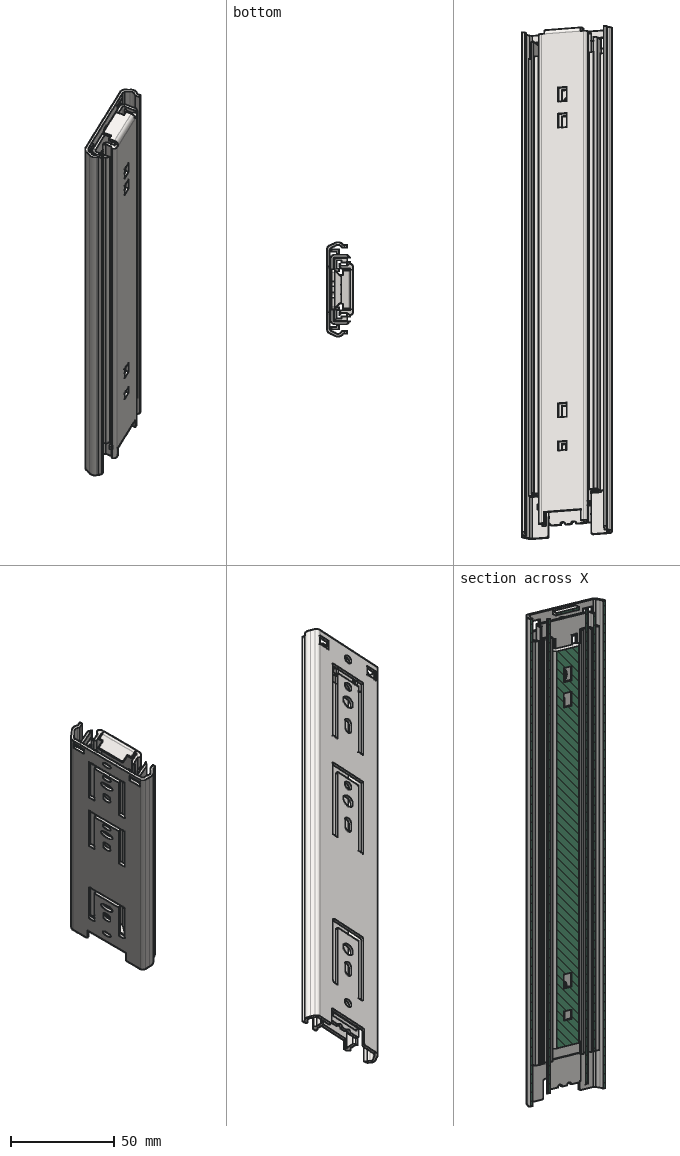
import cadquery as cq
import math


LENGTH = 250.0
DEPTH = 12.8
WIDTH = 45.8

OUTER_SHEET = 1.38
LIP_X = 9.88
LIP_Y = 21.5
LIP_CHAMFER = 1.5
RACE_X = 5.38
RACE_OUTSIDE_REACH = 1.88
RACE_INSIDE_REACH = 1.2
RACE_OUTSIDE_END_Y = 22.2
RACE_INSIDE_END_Y = 21.0
WEB_BEND_START = (0, 19.2)
WEB_BEND_MIDDLE = (0.38, 20.38)
WEB_BEND_END = (1.2, 21.2)
INSIDE_BEND_Y = 19.0
INSIDE_BEND_END = (2.0, 20.0)
LIP_ROOT_X = 8.0
LIP_INSIDE_ROOT_X = 7.5
OUTER_NOTCH_HALF_WIDTH = 11.0
OUTER_NOTCH_HEIGHT = 10.2
OUTER_NOTCH_RADIUS = 0.8
CORNER_WINDOW_Y = (13.0, 19.0)
CORNER_WINDOW_Z = (241.0, 246.5)

LANCE_HALF_WIDTH = 10.2
TONGUE_HALF_WIDTH = 7.0
TONGUE_GAP = 4.2
LONG_LANCE = 46.5
SHORT_LANCE = 41.2
LONG_LANCE_TOPS = (233.8, 169.8)
SHORT_LANCE_TOP = 69.0
SHORT_LANCE_CORNER_RADIUS = 1.2
SMALL_HOLE_DIAMETER = 4.5
BIG_HOLE_DIAMETER = 6.5
MOUNT_SLOT_WIDTH = 4.0
MOUNT_SLOT_LENGTH = 8.5
SMALL_HOLE_DROP = 8.8
LONG_BIG_HOLE_DROP = 18.8
LONG_SLOT_DROP = 34.0
SHORT_BIG_HOLE_DROP = 14.0
SHORT_SLOT_DROP = 26.5
END_HOLES_Z = (242.8, 20.2)

MIDDLE_SHEET = 1.38
MIDDLE_X = 1.8
MIDDLE_HALF_WIDTH = 16.88
MIDDLE_BEND = 2.2
MIDDLE_BOTTOM = 20.2
MIDDLE_TOP = 244.8
HAT_SIDE_Y = 10.2
HAT_FLOOR_Y = 5.62
HAT_BEND = 2.0
HAT_BOTTOM = 26.5
HAT_TOP = 230.2
SLIT_Y = (5.0, 8.0)
SLIT_LENGTH = 5.0
MIDDLE_STRAIGHT_X = 9.8
MIDDLE_TIP_X = 11.2
STEP_HALF_WIDTH = 8.0
STEP_BOTTOM = 7.8
STEP_BEVEL_HEIGHT = 2.5
STEP_BEVEL_DEPTH = 1.2
TONGUE_PLATE_HALF_WIDTH = 9.8
TONGUE_PLATE_SETBACK = 0.8
TONGUE_PLATE_BOTTOM = 5.2
TONGUE_PLATE_RADIUS = 1.5
SCALLOP_RADIUS = 1.2
SCALLOP_Y = 2.8

INNER_SHEET = 1.5
INNER_HALF_WIDTH = 12.5
INNER_BOTTOM = 4.5
INNER_TOP = 247.8
INNER_TIP_X = 6.0
INNER_BEND = 1.8
GROOVE_DEPTH = 1.0
TAB_X = 3.5
TAB_HALF_WIDTH = 7.0
TAB_ROOT_X = 7.8
TAB_ROOT_HALF_WIDTH = 9.2
TAB_BEND = 2.2
INNER_NOTCH_HALF_WIDTH = 9.5
INNER_NOTCH_TOP = 10.0
DETENT_Z = (12.0, 14.2)
DETENT_X = (9.8, 11.2)
DETENT_HEIGHT = 0.8

ACCESS_WINDOW_WIDTH = 4.5
ACCESS_WINDOWS_Z = ((213.5, 220.5), (200.5, 207.5), (56.5, 63.5), (40.0, 44.5))

CAGE_BOTTOM = 20.2
CAGE_TOP = 237.5
CAGE_SHEET = 1.2
OUTER_CAGE_X = (2.2, 6.0)
OUTER_CAGE_Y = (17.12, 19.38)
INNER_CAGE_X = 3.5
INNER_CAGE_ARM_X = 6.0
INNER_CAGE_HOOK_X = 10.0
INNER_CAGE_Y = (8.8, 15.2)
INNER_CAGE_HOOK_Y = 13.0
INNER_CAGE_HOOK_WIDTH = 3.0
INNER_CAGE_CHAMFER = 1.0


def box(x_range, y_range, z_range):
    """Box between the given limits."""
    size = [high - low for low, high in (x_range, y_range, z_range)]
    corner = (x_range[0], y_range[0], z_range[0])
    return cq.Workplane("XY").box(*size, centered=False).translate(corner)


def mirrored(half):
    """The half at +Y joined with its mirror image."""
    return half.union(half.mirror("XZ")).clean()


def round_hole(z, diameter):
    """Round cutter along X through the outer web."""
    return cq.Workplane("YZ").center(0, z).circle(diameter / 2).extrude(OUTER_SHEET)


def lance_cutter(top, length, corner_radius=0):
    """U-shaped slit that frees a mounting tongue on three sides."""
    bottom = top - length
    web = (0, OUTER_SHEET)
    window = box(web, (-LANCE_HALF_WIDTH, LANCE_HALF_WIDTH), (bottom, top))
    if corner_radius > 0:
        window = window.edges("|X").fillet(corner_radius)
    tongue = box(web, (-TONGUE_HALF_WIDTH, TONGUE_HALF_WIDTH), (bottom, top - TONGUE_GAP))
    return window.cut(tongue)


def mount_holes(top, big_hole_drop, slot_drop):
    """Screw hole and adjusting slot of one mounting tongue."""
    slot_z = top - slot_drop
    slot = (
        cq.Workplane("YZ")
        .center(0, slot_z)
        .slot2D(MOUNT_SLOT_LENGTH, MOUNT_SLOT_WIDTH, 90)
        .extrude(OUTER_SHEET)
    )
    return round_hole(top - big_hole_drop, BIG_HOLE_DIAMETER).union(slot)


def outer_rail():
    """C-shaped rail whose edges carry the outer ball races."""
    t = OUTER_SHEET
    half_width = WIDTH / 2
    half = (
        cq.Workplane("XY")
        .lineTo(*WEB_BEND_START)
        .threePointArc(WEB_BEND_MIDDLE, WEB_BEND_END)
        .lineTo(RACE_X - RACE_OUTSIDE_REACH, RACE_OUTSIDE_END_Y)
        .threePointArc((RACE_X, half_width), (RACE_X + RACE_OUTSIDE_REACH, RACE_OUTSIDE_END_Y))
        .lineTo(LIP_ROOT_X, LIP_Y)
        .lineTo(LIP_X, LIP_Y)
        .lineTo(LIP_X, LIP_Y - t)
        .lineTo(LIP_INSIDE_ROOT_X, LIP_Y - t)
        .lineTo(RACE_X + RACE_INSIDE_REACH, RACE_INSIDE_END_Y)
        .threePointArc((RACE_X, half_width - t), (RACE_X - RACE_INSIDE_REACH, RACE_INSIDE_END_Y))
        .lineTo(*INSIDE_BEND_END)
        .lineTo(t, INSIDE_BEND_Y)
        .lineTo(t, 0)
        .close()
        .extrude(LENGTH)
    )
    rail = mirrored(half)

    chamfer_cutter = (
        cq.Workplane("XZ")
        .moveTo(LIP_X, 0)
        .lineTo(LIP_X, LIP_CHAMFER)
        .lineTo(LIP_X - LIP_CHAMFER, 0)
        .close()
        .extrude(WIDTH / 2, both=True)
    )
    rail = rail.cut(chamfer_cutter)

    web = (0, t)
    notch_y = (-OUTER_NOTCH_HALF_WIDTH, OUTER_NOTCH_HALF_WIDTH)
    rail = rail.cut(box(web, notch_y, (0, OUTER_NOTCH_HEIGHT)))
    notch_region = cq.selectors.BoxSelector(
        (0, -OUTER_NOTCH_HALF_WIDTH - OUTER_NOTCH_RADIUS, -OUTER_NOTCH_RADIUS),
        (t, OUTER_NOTCH_HALF_WIDTH + OUTER_NOTCH_RADIUS, OUTER_NOTCH_HEIGHT + OUTER_NOTCH_RADIUS),
    )
    rail = rail.edges("|X").edges(notch_region).fillet(OUTER_NOTCH_RADIUS)

    window = box(web, CORNER_WINDOW_Y, CORNER_WINDOW_Z)
    rail = rail.cut(window).cut(window.mirror("XZ"))

    for top in LONG_LANCE_TOPS:
        rail = rail.cut(lance_cutter(top, LONG_LANCE))
        rail = rail.cut(mount_holes(top, LONG_BIG_HOLE_DROP, LONG_SLOT_DROP))
        rail = rail.cut(round_hole(top - SMALL_HOLE_DROP, SMALL_HOLE_DIAMETER))
    rail = rail.cut(lance_cutter(SHORT_LANCE_TOP, SHORT_LANCE, SHORT_LANCE_CORNER_RADIUS))
    rail = rail.cut(mount_holes(SHORT_LANCE_TOP, SHORT_BIG_HOLE_DROP, SHORT_SLOT_DROP))
    for z in END_HOLES_Z:
        rail = rail.cut(round_hole(z, SMALL_HOLE_DIAMETER))
    return rail


def cut_access_windows(rail):
    """Open the windows that give a screwdriver access to the mounting holes."""
    half_width = ACCESS_WINDOW_WIDTH / 2
    for z_range in ACCESS_WINDOWS_Z:
        rail = rail.cut(box((0, DEPTH), (-half_width, half_width), z_range))
    return rail


def middle_end_tongue():
    """Stepped tongue with a scalloped edge, hanging below the middle rail."""
    t = MIDDLE_SHEET
    step = (
        cq.Workplane("XZ")
        .moveTo(MIDDLE_X, MIDDLE_BOTTOM)
        .lineTo(MIDDLE_X, STEP_BOTTOM + STEP_BEVEL_HEIGHT)
        .lineTo(MIDDLE_X + STEP_BEVEL_DEPTH, STEP_BOTTOM)
        .lineTo(MIDDLE_X + t, STEP_BOTTOM)
        .lineTo(MIDDLE_X + t, MIDDLE_BOTTOM)
        .close()
        .extrude(STEP_HALF_WIDTH, both=True)
    )

    plate_x = MIDDLE_X + TONGUE_PLATE_SETBACK
    plate_y = (-TONGUE_PLATE_HALF_WIDTH, TONGUE_PLATE_HALF_WIDTH)
    plate = box((plate_x, plate_x + t), plate_y, (TONGUE_PLATE_BOTTOM, MIDDLE_BOTTOM))
    plate = plate.edges("|X and <Z").fillet(TONGUE_PLATE_RADIUS)
    scallops = (
        cq.Workplane("YZ", origin=(plate_x, 0, TONGUE_PLATE_BOTTOM))
        .pushPoints([(-SCALLOP_Y, 0), (SCALLOP_Y, 0)])
        .circle(SCALLOP_RADIUS)
        .extrude(t)
    )
    return step.union(plate.cut(scallops))


def middle_rail():
    """C-shaped rail with a raised centre that clears the mounting tongues."""
    t = MIDDLE_SHEET
    slant = math.sqrt(0.5)
    bend_x = MIDDLE_X + HAT_BEND
    slope_start = (bend_x - HAT_BEND * slant, HAT_SIDE_Y - HAT_BEND * slant)
    inner_bend = HAT_BEND - t
    inner_slope_start = (bend_x - inner_bend * slant, HAT_SIDE_Y - inner_bend * slant)
    floor_x = slope_start[0] + slope_start[1] - HAT_FLOOR_Y
    inner_floor_y = sum(inner_slope_start) - (floor_x + t)
    tip_drop = MIDDLE_TIP_X - MIDDLE_STRAIGHT_X
    half = (
        cq.Workplane("XY")
        .moveTo(floor_x, 0)
        .lineTo(floor_x, HAT_FLOOR_Y)
        .lineTo(*slope_start)
        .radiusArc((MIDDLE_X, HAT_SIDE_Y), HAT_BEND)
        .lineTo(MIDDLE_X, MIDDLE_HALF_WIDTH - MIDDLE_BEND)
        .radiusArc((MIDDLE_X + MIDDLE_BEND, MIDDLE_HALF_WIDTH), MIDDLE_BEND)
        .lineTo(MIDDLE_STRAIGHT_X, MIDDLE_HALF_WIDTH)
        .lineTo(MIDDLE_TIP_X, MIDDLE_HALF_WIDTH - tip_drop)
        .lineTo(MIDDLE_STRAIGHT_X, MIDDLE_HALF_WIDTH - t)
        .lineTo(MIDDLE_X + MIDDLE_BEND, MIDDLE_HALF_WIDTH - t)
        .radiusArc((MIDDLE_X + t, MIDDLE_HALF_WIDTH - MIDDLE_BEND), -(MIDDLE_BEND - t))
        .lineTo(MIDDLE_X + t, HAT_SIDE_Y)
        .radiusArc(inner_slope_start, -inner_bend)
        .lineTo(floor_x + t, inner_floor_y)
        .lineTo(floor_x + t, 0)
        .close()
        .extrude(MIDDLE_TOP - MIDDLE_BOTTOM)
    )
    rail = mirrored(half).translate((0, 0, MIDDLE_BOTTOM))

    half_wall = (
        cq.Workplane("XY")
        .moveTo(MIDDLE_X, 0)
        .lineTo(MIDDLE_X, HAT_SIDE_Y)
        .lineTo(MIDDLE_X + t, HAT_SIDE_Y)
        .radiusArc(inner_slope_start, -inner_bend)
        .lineTo(floor_x + t, inner_floor_y)
        .lineTo(floor_x + t, 0)
        .close()
        .extrude(t)
    )
    wall = mirrored(half_wall)
    hat_y = (-HAT_SIDE_Y, HAT_SIDE_Y)
    web_x = (MIDDLE_X, MIDDLE_X + t)
    for wall_z, flat_z in (
        (HAT_BOTTOM, (MIDDLE_BOTTOM, HAT_BOTTOM)),
        (HAT_TOP - t, (HAT_TOP, MIDDLE_TOP)),
    ):
        rail = rail.cut(box((0, DEPTH), hat_y, flat_z))
        rail = rail.union(wall.translate((0, 0, wall_z)))
        rail = rail.union(box(web_x, hat_y, flat_z))

    slit = box(web_x, SLIT_Y, (HAT_TOP, HAT_TOP + SLIT_LENGTH))
    rail = rail.cut(slit).cut(slit.mirror("XZ"))
    return cut_access_windows(rail.union(middle_end_tongue()))


def inner_rail():
    """C-shaped rail with grooved sides and a bent tab closing its upper end."""
    t = INNER_SHEET
    side = INNER_HALF_WIDTH
    bend_x = DEPTH - INNER_BEND
    groove_y = side - GROOVE_DEPTH
    half = (
        cq.Workplane("XY")
        .moveTo(DEPTH, 0)
        .lineTo(DEPTH, side - INNER_BEND)
        .radiusArc((bend_x, side), -INNER_BEND)
        .lineTo(bend_x - GROOVE_DEPTH, groove_y)
        .lineTo(INNER_TIP_X + GROOVE_DEPTH, groove_y)
        .lineTo(INNER_TIP_X, side)
        .lineTo(INNER_TIP_X, side - t)
        .lineTo(INNER_TIP_X + GROOVE_DEPTH, groove_y - t)
        .lineTo(DEPTH - t, groove_y - t)
        .lineTo(DEPTH - t, 0)
        .close()
        .extrude(INNER_TOP - INNER_BOTTOM)
    )
    rail = mirrored(half).translate((0, 0, INNER_BOTTOM))

    tab_profile = (
        cq.Workplane("XZ")
        .moveTo(DEPTH, INNER_TOP - TAB_BEND)
        .lineTo(DEPTH, LENGTH - TAB_BEND)
        .radiusArc((DEPTH - TAB_BEND, LENGTH), -TAB_BEND)
        .lineTo(TAB_X, LENGTH)
        .lineTo(TAB_X, LENGTH - t)
        .lineTo(DEPTH - TAB_BEND, LENGTH - t)
        .radiusArc((DEPTH - t, LENGTH - TAB_BEND), TAB_BEND - t)
        .lineTo(DEPTH - t, INNER_TOP - TAB_BEND)
        .close()
        .extrude(TAB_ROOT_HALF_WIDTH, both=True)
    )
    tab_corner = box(
        (TAB_X, TAB_ROOT_X), (TAB_HALF_WIDTH, TAB_ROOT_HALF_WIDTH), (LENGTH - t, LENGTH)
    )
    tab = tab_profile.cut(tab_corner).cut(tab_corner.mirror("XZ"))
    rail = rail.union(tab)

    detent = box(DETENT_X, (groove_y - t / 2, side + DETENT_HEIGHT), DETENT_Z)
    rail = rail.union(detent).union(detent.mirror("XZ"))

    notch_y = (-INNER_NOTCH_HALF_WIDTH, INNER_NOTCH_HALF_WIDTH)
    rail = rail.cut(box((DEPTH - t, DEPTH), notch_y, (INNER_BOTTOM, INNER_NOTCH_TOP)))
    return cut_access_windows(rail)


def outer_cage():
    """L-shaped strip between the outer and middle rails, at +Y."""
    (left, right), (low, high) = OUTER_CAGE_X, OUTER_CAGE_Y
    t = CAGE_SHEET
    return (
        cq.Workplane("XY", origin=(0, 0, CAGE_BOTTOM))
        .moveTo(left, high)
        .lineTo(right, high)
        .lineTo(right, low)
        .lineTo(right - t, low)
        .lineTo(right - t, high - t)
        .lineTo(left, high - t)
        .close()
        .extrude(CAGE_TOP - CAGE_BOTTOM)
    )


def inner_cage():
    """C-shaped strip between the middle and inner rails, at +Y."""
    low, high = INNER_CAGE_Y
    t = CAGE_SHEET
    c = INNER_CAGE_CHAMFER
    return (
        cq.Workplane("XY", origin=(0, 0, CAGE_BOTTOM))
        .moveTo(INNER_CAGE_ARM_X, low)
        .lineTo(INNER_CAGE_X + c, low)
        .lineTo(INNER_CAGE_X, low + c)
        .lineTo(INNER_CAGE_X, high - c)
        .lineTo(INNER_CAGE_X + c, high)
        .lineTo(INNER_CAGE_HOOK_X, high)
        .lineTo(INNER_CAGE_HOOK_X, INNER_CAGE_HOOK_Y)
        .lineTo(INNER_CAGE_HOOK_X - INNER_CAGE_HOOK_WIDTH, INNER_CAGE_HOOK_Y)
        .lineTo(INNER_CAGE_HOOK_X - INNER_CAGE_HOOK_WIDTH, high - t)
        .lineTo(INNER_CAGE_X + t, high - t)
        .lineTo(INNER_CAGE_X + t, low + t)
        .lineTo(INNER_CAGE_ARM_X, low + t)
        .close()
        .extrude(CAGE_TOP - CAGE_BOTTOM)
    )


bodies = [outer_rail().val(), middle_rail().val(), inner_rail().val()]
for cage in (outer_cage(), inner_cage()):
    bodies.append(cage.val())
    bodies.append(cage.mirror("XZ").val())

result = cq.Compound.makeCompound(bodies)